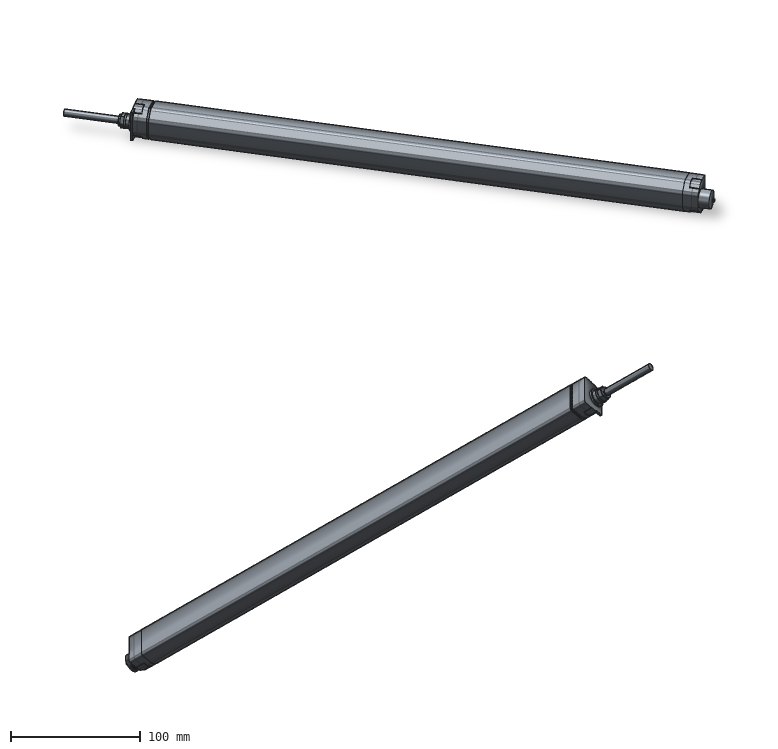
import cadquery as cq
import math

DEPTH = 21.5
HEIGHT = 28.0
FRONT_CHAMFER = 7.5
FRONT_FILLET = 4.0
BACK_FILLET = 2.0
FRONT_Y = -DEPTH / 2
BACK_Y = DEPTH / 2
TOP_Z = HEIGHT / 2

TOTAL_LENGTH = 519.0
CABLE_END_X = -TOTAL_LENGTH / 2
KEY_TIP_X = TOTAL_LENGTH / 2
LEFT_END_X = -204.5
RIGHT_END_X = 249.0

CAP_INSET = 0.1
CAP_LENGTH = 12.5
CAP_TIP_LENGTH = 5.0
CAP_DRAFT = 1.5
SEAM_WIDTH = 1.5
SEAM_INSET = 1.0

WINDOW_LENGTH = 8.0
WINDOW_FRONT_Y = -7.0
WINDOW_BACK_Y = 1.5
WINDOW_INSET = 0.6

PLATE_THICKNESS = 1.5
PLATE_HEIGHT = 25.0
PLATE_BACK_Y = 4.0

AXIS_Y = -3.2
CABLE_DIAMETER = 5.5
COLLAR_DIAMETER = 9.5
COLLAR_LENGTH = 1.5
HEX_CORNER_DIAMETER = 12.0
HEX_LENGTH = 3.0
WASHER_DIAMETER = 12.0
WASHER_LENGTH = 1.5
NECK_DIAMETER = 11.5
NECK_LENGTH = 3.0
FLANGE_DIAMETER = 14.5
FLANGE_LENGTH = 1.5
PLUG_DIAMETER = 2 * (AXIS_Y - FRONT_Y)

KEY_LENGTH = 1.5
KEY_WIDTH = 1.5
KEY_Y = 0.5
KEY_Z = -2.5


def section(x, inset):
    """Outline of the bar across X, moved inwards by the inset."""
    plane = cq.Workplane("YZ", origin=(x, 0, 0))
    back, front, top = BACK_Y - inset, FRONT_Y + inset, TOP_Z - inset
    chamfer = FRONT_CHAMFER - inset * (2 - math.sqrt(2))
    fillet = FRONT_FILLET - inset
    back_fillet = BACK_FILLET - inset
    tangent = fillet * math.tan(math.pi / 8)
    slant = tangent * math.sin(math.pi / 4)
    corner_gap = back_fillet * (1 - math.sin(math.pi / 4))
    bend_rise = fillet * (1 - math.cos(math.pi / 8))
    bend_run = fillet * math.sin(math.pi / 8)
    knee_y, knee_z = front + chamfer, top - chamfer
    return (
        plane.moveTo(back, back_fillet - top)
        .lineTo(back, top - back_fillet)
        .threePointArc((back - corner_gap, top - corner_gap), (back - back_fillet, top))
        .lineTo(knee_y + tangent, top)
        .threePointArc((knee_y + tangent - bend_run, top - bend_rise), (knee_y - slant, top - slant))
        .lineTo(front + slant, knee_z + slant)
        .threePointArc((front + bend_rise, knee_z - tangent + bend_run), (front, knee_z - tangent))
        .lineTo(front, tangent - knee_z)
        .threePointArc((front + bend_rise, tangent - bend_run - knee_z), (front + slant, -knee_z - slant))
        .lineTo(knee_y - slant, slant - top)
        .threePointArc((knee_y + tangent - bend_run, bend_rise - top), (knee_y + tangent, -top))
        .lineTo(back - back_fillet, -top)
        .threePointArc((back - corner_gap, corner_gap - top), (back, back_fillet - top))
        .close()
    )


def bar(x, length, inset=0.0, draft=0.0):
    """Length of bar from x; a negative length runs towards -X."""
    return section(x, inset).extrude(length, taper=draft)


def rod(x, length, diameter):
    """Cylinder on the cable axis."""
    return cq.Workplane("YZ", origin=(x, AXIS_Y, 0)).circle(diameter / 2).extrude(length)


def box(x_range, y_range, z_range):
    """Block between the given limits."""
    sizes = [high - low for low, high in (x_range, y_range, z_range)]
    return cq.Workplane("XY", origin=(x_range[0], y_range[0], z_range[0])).box(*sizes, centered=False)


def end_cap(end_x, outward):
    """Cap with its windows, ending at end_x, with outward +1 or -1 along X."""
    base_x = end_x - outward * CAP_LENGTH
    straight = CAP_LENGTH - CAP_TIP_LENGTH
    cap = bar(base_x, outward * straight, CAP_INSET)
    cap = cap.union(bar(base_x + outward * straight, outward * CAP_TIP_LENGTH, CAP_INSET, CAP_DRAFT))
    window_x = end_x - outward * WINDOW_LENGTH
    band = box(sorted((window_x, end_x)), (WINDOW_FRONT_Y, WINDOW_BACK_Y), (-TOP_Z, TOP_Z))
    core = bar(window_x, end_x - window_x, WINDOW_INSET)
    return cap.cut(band.cut(core))


def gland(end_x):
    """Cable gland and cable stacked outwards (-X) from the cap's end face."""
    flange_x = end_x - FLANGE_LENGTH
    neck_x = flange_x - NECK_LENGTH
    washer_x = neck_x - WASHER_LENGTH
    hex_x = washer_x - HEX_LENGTH
    collar_x = hex_x - COLLAR_LENGTH
    nut = cq.Workplane("YZ", origin=(hex_x, AXIS_Y, 0)).polygon(6, HEX_CORNER_DIAMETER).extrude(HEX_LENGTH)
    return (
        rod(flange_x, FLANGE_LENGTH, FLANGE_DIAMETER)
        .union(rod(neck_x, NECK_LENGTH, NECK_DIAMETER))
        .union(rod(washer_x, WASHER_LENGTH, WASHER_DIAMETER))
        .union(nut)
        .union(rod(collar_x, COLLAR_LENGTH, COLLAR_DIAMETER))
        .union(rod(CABLE_END_X, collar_x - CABLE_END_X, CABLE_DIAMETER))
    )


def make_housing(start_x):
    """Extruded bar with its plug-end cap, plug and coding key."""
    cap_x = RIGHT_END_X - CAP_LENGTH
    plug_end_x = KEY_TIP_X - KEY_LENGTH
    key = box(
        (plug_end_x, KEY_TIP_X),
        (KEY_Y - KEY_WIDTH / 2, KEY_Y + KEY_WIDTH / 2),
        (KEY_Z - KEY_WIDTH / 2, KEY_Z + KEY_WIDTH / 2),
    )
    return (
        bar(start_x, cap_x - start_x)
        .union(end_cap(RIGHT_END_X, 1))
        .union(rod(RIGHT_END_X, plug_end_x - RIGHT_END_X, PLUG_DIAMETER))
        .union(key)
    )


def make_cable_cap(seam_x):
    """Cable-end cap with its recessed seam, square plate, gland and cable."""
    plate = box(
        (LEFT_END_X, LEFT_END_X + PLATE_THICKNESS),
        (FRONT_Y, PLATE_BACK_Y),
        (-PLATE_HEIGHT / 2, PLATE_HEIGHT / 2),
    )
    return (
        end_cap(LEFT_END_X, -1)
        .union(bar(seam_x, SEAM_WIDTH, SEAM_INSET))
        .union(plate)
        .union(gland(LEFT_END_X))
    )


cap_base_x = LEFT_END_X + CAP_LENGTH
cable_cap = make_cable_cap(cap_base_x)
housing = make_housing(cap_base_x + SEAM_WIDTH)

result = cq.Compound.makeCompound([housing.val(), cable_cap.val()])